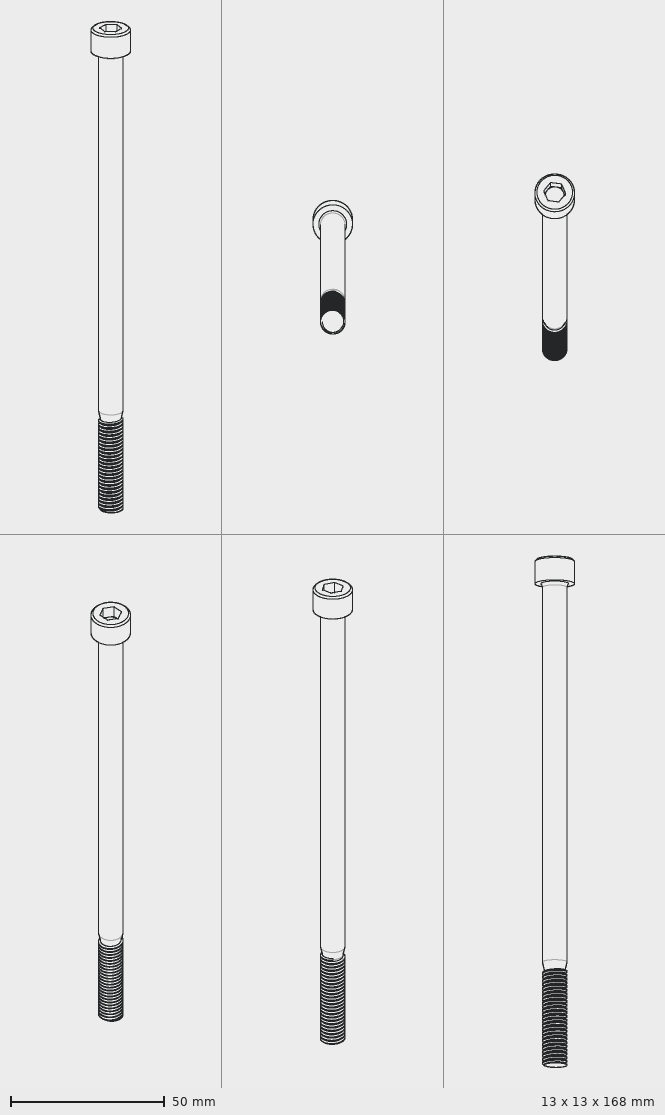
import cadquery as cq
import math

total_length = 168.0
head_diameter = 13.0
head_height = 8.0
head_top_chamfer = 0.7

socket_across_flats = 6.2
socket_depth = 4.0
socket_tip_angle = 120.0

shank_diameter = 8.0
fillet_diameter = 9.0
fillet_height = 1.2

pitch = 1.25
thread_and_neck_length = 34.3
neck_length = 3.0
thread_start_angle = 40.0
thread_overlap = 0.08

half_flank_angle = math.radians(30)
crest_flat = pitch / 4
root_flat = pitch / 8
thread_depth = (pitch - crest_flat - root_flat) / 2 / math.tan(half_flank_angle)

head_radius = head_diameter / 2
shank_radius = shank_diameter / 2
core_radius = shank_radius - thread_depth

tip_z = head_height - total_length
shank_end_z = tip_z + thread_and_neck_length
thread_top_z = shank_end_z - neck_length


def make_body():
    """Revolved head, underhead fillet, plain shank, tapered neck and thread core."""
    fillet_width = fillet_diameter / 2 - shank_radius
    fillet_radius = (fillet_width**2 + fillet_height**2) / (2 * fillet_width)
    half_sweep = math.asin(fillet_height / fillet_radius) / 2
    fillet_middle = (
        shank_radius + fillet_radius * (1 - math.cos(half_sweep)),
        fillet_radius * math.sin(half_sweep) - fillet_height,
    )
    return (
        cq.Workplane("XZ")
        .moveTo(0, head_height)
        .lineTo(head_radius - head_top_chamfer, head_height)
        .lineTo(head_radius, head_height - head_top_chamfer)
        .lineTo(head_radius, 0)
        .lineTo(fillet_diameter / 2, 0)
        .threePointArc(fillet_middle, (shank_radius, -fillet_height))
        .lineTo(shank_radius, shank_end_z)
        .lineTo(core_radius, thread_top_z)
        .lineTo(core_radius, tip_z - pitch)
        .lineTo(0, tip_z - pitch)
        .close()
        .revolve(360, (0, 0), (0, 1))
    )


def make_thread():
    """Helical ridge that starts at the end of the neck and runs out through the tip."""
    turns = math.ceil((thread_top_z - tip_z) / pitch) + 1
    helix_height = turns * pitch
    start_z = thread_top_z - helix_height
    root_radius = core_radius - thread_overlap
    crest_half_width = crest_flat / 2
    root_half_width = crest_half_width + (shank_radius - root_radius) * math.tan(half_flank_angle)

    helix = cq.Wire.makeHelix(pitch, helix_height, shank_radius, center=cq.Vector(0, 0, start_z))
    return (
        cq.Workplane("XZ", origin=(0, 0, start_z))
        .moveTo(root_radius, -root_half_width)
        .lineTo(shank_radius, -crest_half_width)
        .lineTo(shank_radius, crest_half_width)
        .lineTo(root_radius, root_half_width)
        .close()
        .sweep(cq.Workplane(helix), isFrenet=True)
        .rotate((0, 0, 0), (0, 0, 1), thread_start_angle)
    )


def make_socket():
    """Hex socket with corners on the Y axis and a conical floor."""
    hex_sides = 6
    half_side_angle = 180 / hex_sides
    socket_across_corners = socket_across_flats / math.cos(math.radians(half_side_angle))
    flat_radius = socket_across_flats / 2
    floor_z = head_height - socket_depth
    tip_depth = flat_radius / math.tan(math.radians(socket_tip_angle / 2))

    hexagon = (
        cq.Workplane("XY", origin=(0, 0, floor_z))
        .transformed(rotate=(0, 0, half_side_angle))
        .polygon(hex_sides, socket_across_corners)
        .extrude(socket_depth)
    )
    floor_cone = cq.Workplane(
        cq.Solid.makeCone(flat_radius, 0, tip_depth, cq.Vector(0, 0, floor_z), cq.Vector(0, 0, -1))
    )
    return hexagon.union(floor_cone)


def make_trim():
    """Block that squares off the thread at the tip."""
    trim_depth = 3 * pitch
    return cq.Workplane("XY", origin=(0, 0, tip_z)).rect(head_diameter, head_diameter).extrude(-trim_depth)


screw = make_body().union(make_thread())
result = screw.cut(make_trim()).cut(make_socket())